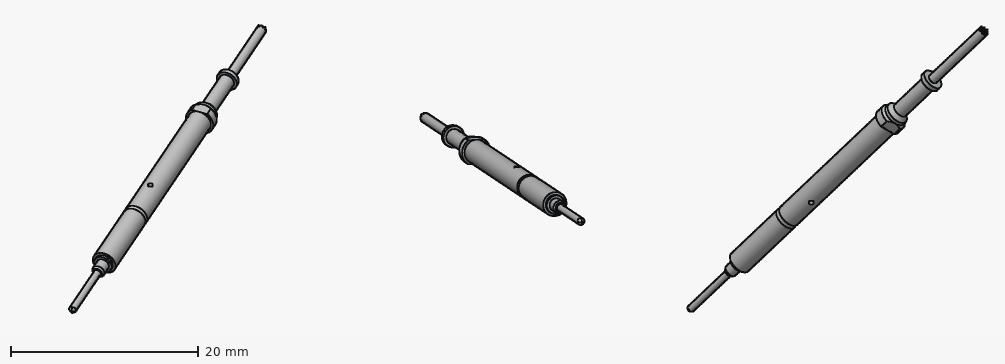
import cadquery as cq
import math


body_dia = 2.65
collar_dia = 3.19
groove_dia = 2.5
nose_ring_dia = 2.05
tube_dia = 1.42
tube_mouth_dia = 1.12
plunger_dia = 0.8
sleeve_dia = 1.72
flange_dia = 2.36
tail_pin_dia = 1.1

collar_length = 1.28
collar_chamfer_length = 0.3
neck_length = 0.4
neck_chamfer_length = 0.5
sleeve_length = 5.1
flange_length = 0.55
tail_pin_length = 9.0

rear_body_length = 17.1
groove_width = 0.5
front_body_length = 8.02
nose_ring_length = 0.32
tube_length = 1.23
tube_mouth_length = 0.28
plunger_length = 7.02

tip_faces = 4
tip_half_angle = 45
crown_pitch = 0.41
crown_depth = 0.3
crown_groove_offsets = (-1.5, -0.5, 0.5, 1.5)
dimple_dia = 0.55
dimple_distance = 13.2

collar_rim = collar_length - collar_chamfer_length
neck_end = collar_length + neck_length
sleeve_start = neck_end + neck_chamfer_length
sleeve_end = sleeve_start + sleeve_length
flange_end = sleeve_end + flange_length
tail_end = flange_end + tail_pin_length
groove_start = -rear_body_length
groove_end = groove_start - groove_width
body_end = groove_end - front_body_length
nose_ring_end = body_end - nose_ring_length
tube_end = nose_ring_end - tube_length
tube_mouth_end = tube_end - tube_mouth_length
plunger_tip = tube_mouth_end - plunger_length


def make_turned_profile():
    """Revolve the stepped outline about the Y axis."""
    groove_middle = (groove_start + groove_end) / 2
    front_outline = [
        (0, plunger_tip),
        (plunger_dia / 2, plunger_tip),
        (plunger_dia / 2, tube_mouth_end),
        (tube_mouth_dia / 2, tube_mouth_end),
        (tube_dia / 2, tube_end),
        (tube_dia / 2, nose_ring_end),
        (nose_ring_dia / 2, nose_ring_end),
        (nose_ring_dia / 2, body_end),
        (body_dia / 2, body_end),
        (body_dia / 2, groove_end),
    ]
    rear_outline = [
        (body_dia / 2, 0),
        (collar_dia / 2, 0),
        (collar_dia / 2, collar_rim),
        (body_dia / 2, collar_length),
        (body_dia / 2, neck_end),
        (sleeve_dia / 2, sleeve_start),
        (sleeve_dia / 2, sleeve_end),
        (flange_dia / 2, sleeve_end),
        (flange_dia / 2, flange_end),
        (tail_pin_dia / 2, flange_end),
        (tail_pin_dia / 2, tail_end),
        (0, tail_end),
    ]
    profile = (
        cq.Workplane("XY")
        .polyline(front_outline)
        .threePointArc((groove_dia / 2, groove_middle), (body_dia / 2, groove_start))
        .polyline(rear_outline, includeCurrent=True)
        .close()
    )
    return profile.revolve(360, (0, 0, 0), (0, 1, 0))


def cut_collar_flats(part):
    """Flatten the collar above and below, level with the body."""
    for side in (1, -1):
        waste = cq.Workplane("XY").box(collar_dia, collar_length, collar_dia)
        part = part.cut(waste.translate((0, collar_length / 2, side * (body_dia + collar_dia) / 2)))
    return part


def cut_plunger_point(part):
    """Grind a pyramid point on the plunger, its edges lying along X and Z."""
    radius = plunger_dia / 2
    height = radius / math.tan(math.radians(tip_half_angle))
    for index in range(tip_faces):
        waste = (
            cq.Workplane("XY")
            .polyline([
                (0, plunger_tip),
                (plunger_dia, plunger_tip),
                (plunger_dia, plunger_tip + 2 * height),
            ])
            .close()
            .extrude(radius, both=True)
        )
        turn = (index + 0.5) * 360 / tip_faces
        part = part.cut(waste.rotate((0, 0, 0), (0, 1, 0), turn))
    return part


def cut_crown(part):
    """Cut crossing V grooves that leave a 3 x 3 pattern of points."""
    for turn in (0, 90):
        for offset in crown_groove_offsets:
            middle = offset * crown_pitch
            groove = (
                cq.Workplane("XY")
                .polyline([
                    (middle - crown_pitch / 2, tail_end),
                    (middle + crown_pitch / 2, tail_end),
                    (middle, tail_end - crown_depth),
                ])
                .close()
                .extrude(tail_pin_dia, both=True)
            )
            part = part.cut(groove.rotate((0, 0, 0), (0, 1, 0), turn))
    return part


def cut_dimples(part):
    """Press two opposed half-ball dimples into the body."""
    ball = cq.Workplane("XY").sphere(dimple_dia / 2)
    for side in (1, -1):
        part = part.cut(ball.translate((0, -dimple_distance, side * body_dia / 2)))
    return part


result = make_turned_profile()
result = cut_collar_flats(result)
result = cut_plunger_point(result)
result = cut_crown(result)
result = cut_dimples(result)